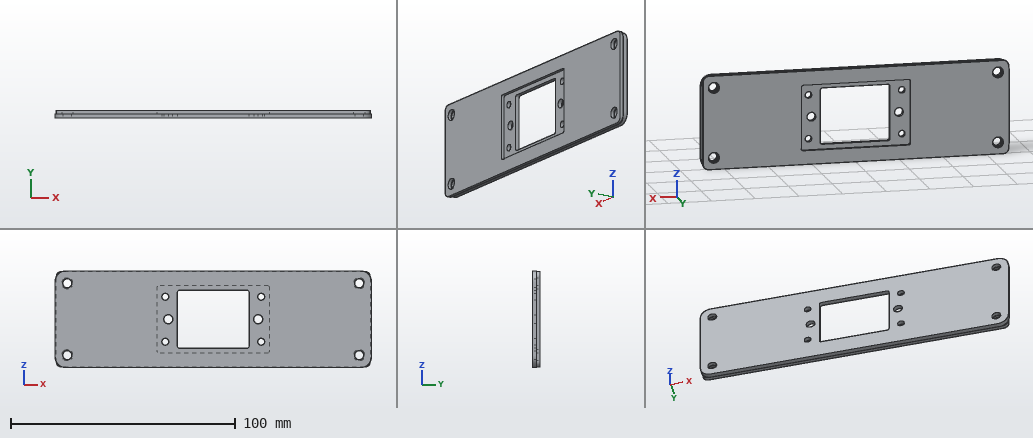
import cadquery as cq

front_length = 141.0
height = 43.0
front_thickness = 2.0
front_corner_radius = 5.0

total_thickness = 3.5
back_thickness = total_thickness - front_thickness
end_step = 0.5
side_step = 0.1
back_length = front_length - 2 * end_step
back_height = height - 2 * side_step
back_corner_radius = 2.5

window_width = 31.9
window_height = 25.8
window_corner_radius = 1.0

recess_width = 50.0
recess_height = 30.0
recess_corner_radius = window_corner_radius

large_hole_diameter = 4.0
small_hole_diameter = 3.0
corner_clearance_diameter = 5.0
corner_spacing_x = 130.0
corner_spacing_z = 32.0
side_spacing_x = 40.0
small_spacing_x = 42.7
small_spacing_z = 20.0


def rounded_plate(length, plate_height, thickness, corner_radius, start_y):
    """Plate standing in the XZ plane, growing from start_y toward +Y."""
    plate = cq.Workplane("XZ", origin=(0, start_y, 0)).rect(length, plate_height).extrude(-thickness)
    return plate.edges("|Y").fillet(corner_radius)


def hole_pins(diameter, spacing_x, spacing_z, start_y=0):
    """Cylinders from start_y through to the back face, placed symmetrically about the centre."""
    half_x = spacing_x / 2
    half_z = spacing_z / 2
    heights = [-half_z, half_z] if spacing_z else [0]
    centres = [(x, z) for x in (-half_x, half_x) for z in heights]
    depth = total_thickness - start_y
    face = cq.Workplane("XZ", origin=(0, start_y, 0))
    return face.pushPoints(centres).circle(diameter / 2).extrude(-depth)


front_plate = rounded_plate(front_length, height, front_thickness, front_corner_radius, 0)
back_plate = rounded_plate(back_length, back_height, back_thickness, back_corner_radius, front_thickness)
body = front_plate.union(back_plate)

window = rounded_plate(window_width, window_height, total_thickness, window_corner_radius, 0)
corner_holes = hole_pins(large_hole_diameter, corner_spacing_x, corner_spacing_z)
side_holes = hole_pins(large_hole_diameter, side_spacing_x, 0)
small_holes = hole_pins(small_hole_diameter, small_spacing_x, small_spacing_z)

recess = rounded_plate(recess_width, recess_height, back_thickness, recess_corner_radius, front_thickness)
corner_clearances = hole_pins(corner_clearance_diameter, corner_spacing_x, corner_spacing_z, front_thickness)

body = body.cut(recess).cut(corner_clearances)
result = body.cut(window).cut(corner_holes).cut(side_holes).cut(small_holes)